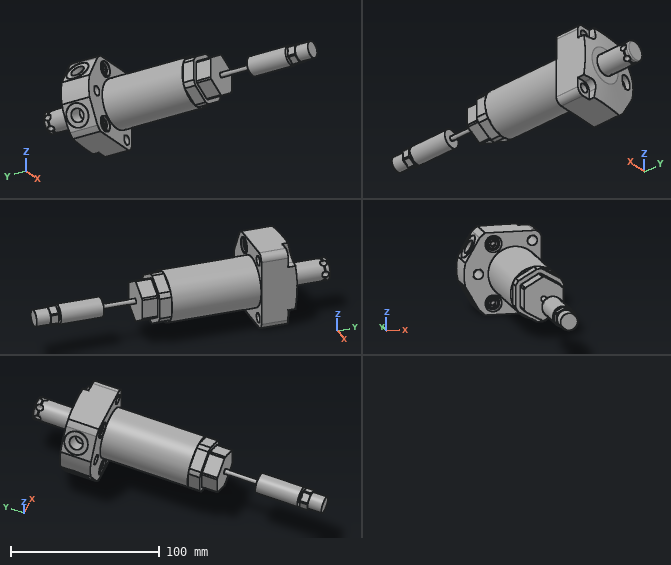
import cadquery as cq
import math


FLANGE_RADIUS = 35.0
FLANGE_RIGHT = 18.92
FLANGE_HALF_HEIGHT = 28.5
CORNER_RADIUS = 5.0
PORT_FLAT_DISTANCE = 33.6
PORT_ANGLES = (150, 210)

FLANGE_RIM_STATION = 22.4
FLANGE_TOP_STATION = 26.9
FLANGE_TOP_RADIUS = 13.5

PORT_STATION = 13.0
PORT_SPOTFACE_DIAMETER = 17.0
PORT_SPOTFACE_DEPTH = 0.3
PORT_DIAMETER = 9.6
PORT_DEPTH = 12.5

BOLT_CIRCLE_RADIUS = 25.0
CORNER_BOLT_ANGLE = 60
BOLT_ANGLES = (CORNER_BOLT_ANGLE, 180, -CORNER_BOLT_ANGLE)
BOLT_DIAMETER = 6.8
SPOTFACE_STATION = 19.2
SPOTFACE_DIAMETER = 10.6

SCREW_X = -14.5
SCREW_Z = 20.5
RIM_SECTION_RADIUS = 0.6
SCREW_BORE_DIAMETER = 9.0
BORE_DEPTH = 1.5
SCREW_HEAD_DIAMETER = 7.6
SCREW_HEAD_HEIGHT = 1.0
SCREW_HEAD_CHAMFER = 0.6
SOCKET_WIDTH = 3.6
SOCKET_DEPTH = 2.5

STEM_RADIUS = 7.95
STEM_END = 54.0
STEM_TIP_ROUND = 1.0
STEM_DIMPLE_DIAMETER = 5.0
STEM_DIMPLE_DEPTH = STEM_DIMPLE_DIAMETER / 2
STEM_DIMPLE_COUNT = 6
STEM_DIMPLE_STATION = STEM_END - 3.8
STEM_GROOVE_WIDTH = 0.6
STEM_GROOVE_DEPTH = 0.3

BARREL_RADIUS = 18.15
BARREL_END = -64.0
LARGE_NUT_WIDTH = 33.5
LARGE_NUT_RADIUS = 18.3
LARGE_NUT_END = -72.6
SMALL_NUT_WIDTH = 27.0
SMALL_NUT_RADIUS = 15.2
SMALL_NUT_END = -83.9
ROD_RADIUS = 1.8
ROD_END = -109.0
SLEEVE_RADIUS = 7.2
SLEEVE_END = -139.9
NECK_RADIUS = 4.2
NECK_END = -141.4
PLUG_NUT_WIDTH = 13.0
PLUG_NUT_RADIUS = 7.25
PLUG_NUT_END = -147.0
PLUG_RADIUS = 6.0
PLUG_END = -157.09


def cylinder(radius, start, end, x=0, z=0):
    """Cylinder parallel to Y between two stations."""
    axis = cq.Vector(0, math.copysign(1, end - start), 0)
    return cq.Workplane(cq.Solid.makeCylinder(radius, abs(end - start), cq.Vector(x, start, z), axis))


def hexagon(width, start, end, x=0, z=0):
    """Hexagonal prism parallel to Y, with two of its flats facing -X and +X."""
    plane = cq.Plane(origin=(x, start, z), xDir=(1, 0, 0), normal=(0, math.copysign(1, end - start), 0))
    return cq.Workplane(plane).polygon(6, width, circumscribed=True).extrude(abs(end - start))


def nut(width, corner_radius, start, end):
    """Hexagon with its corners turned down to a radius."""
    return hexagon(width, start, end).intersect(cylinder(corner_radius, start, end))


def radial_cylinder(diameter, depth, angle, outer_distance, station):
    """Cylinder cutting inward toward the Y axis, at an angle measured from +X toward +Z."""
    outward = cq.Vector(math.cos(math.radians(angle)), 0, math.sin(math.radians(angle)))
    start = outward * outer_distance + cq.Vector(0, station, 0)
    return cq.Workplane(cq.Solid.makeCylinder(diameter / 2, depth, start, outward * -1))


def flange_body():
    """Domed disc trimmed to a straight top, bottom and right side."""
    disc = (
        cq.Workplane("XY")
        .polyline([
            (0, 0),
            (FLANGE_RADIUS, 0),
            (FLANGE_RADIUS, FLANGE_RIM_STATION),
            (FLANGE_TOP_RADIUS, FLANGE_TOP_STATION),
            (0, FLANGE_TOP_STATION),
        ])
        .close()
        .revolve(360, (0, 0), (0, 1))
    )
    trim = (
        cq.Workplane("XY")
        .box(
            FLANGE_RADIUS + FLANGE_RIGHT,
            FLANGE_TOP_STATION,
            2 * FLANGE_HALF_HEIGHT,
            centered=(False, False, True),
        )
        .translate((-FLANGE_RADIUS, 0, 0))
        .edges("|Y and >X")
        .fillet(CORNER_RADIUS)
    )
    return disc.intersect(trim)


def cut_ports(body):
    """Flats on the rim, each with a shallow spotface and a blind port aimed at the axis."""
    flat_depth = FLANGE_RADIUS - PORT_FLAT_DISTANCE
    for angle in PORT_ANGLES:
        flat = (
            cq.Workplane("XY")
            .box(flat_depth, FLANGE_TOP_STATION, FLANGE_RADIUS, centered=(False, False, True))
            .translate((PORT_FLAT_DISTANCE, 0, 0))
            .rotate((0, 0, 0), (0, 1, 0), -angle)
        )
        spotface = radial_cylinder(
            PORT_SPOTFACE_DIAMETER, PORT_SPOTFACE_DEPTH, angle, PORT_FLAT_DISTANCE, PORT_STATION
        )
        port = radial_cylinder(PORT_DIAMETER, PORT_DEPTH, angle, PORT_FLAT_DISTANCE, PORT_STATION)
        body = body.cut(flat).cut(spotface).cut(port)
    return body


def cut_mounting_holes(body):
    """Three through holes on a bolt circle, spotfaced from the rear."""
    for angle in BOLT_ANGLES:
        x = BOLT_CIRCLE_RADIUS * math.cos(math.radians(angle))
        z = BOLT_CIRCLE_RADIUS * math.sin(math.radians(angle))
        body = body.cut(cylinder(BOLT_DIAMETER / 2, 0, FLANGE_TOP_STATION, x, z))
        body = body.cut(cylinder(SPOTFACE_DIAMETER / 2, SPOTFACE_STATION, FLANGE_TOP_STATION, x, z))
    return body


def cut_corner_notches(body):
    """Open the two corner spotfaces out to the right side and to the top or bottom."""
    hole_x = BOLT_CIRCLE_RADIUS * math.cos(math.radians(CORNER_BOLT_ANGLE))
    hole_z = BOLT_CIRCLE_RADIUS * math.sin(math.radians(CORNER_BOLT_ANGLE))
    left = hole_x - SPOTFACE_DIAMETER / 2
    inner = hole_z - SPOTFACE_DIAMETER / 2
    for side in (1, -1):
        outline = [
            (left, side * hole_z),
            (left, side * FLANGE_HALF_HEIGHT),
            (FLANGE_RIGHT, side * FLANGE_HALF_HEIGHT),
            (FLANGE_RIGHT, side * inner),
            (hole_x, side * inner),
            (hole_x, side * hole_z),
        ]
        notch = (
            cq.Workplane("XZ", origin=(0, FLANGE_TOP_STATION, 0))
            .polyline(outline)
            .close()
            .extrude(FLANGE_TOP_STATION - SPOTFACE_STATION)
        )
        body = body.cut(notch)
    return body


def add_screw(body, z):
    """Socket screw in a bore, ringed by a half-round rim on the front face."""
    head_top = BORE_DEPTH - SCREW_HEAD_HEIGHT
    rim = cq.Workplane(
        cq.Solid.makeTorus(
            SCREW_BORE_DIAMETER / 2 + RIM_SECTION_RADIUS,
            RIM_SECTION_RADIUS,
            cq.Vector(SCREW_X, 0, z),
            cq.Vector(0, 1, 0),
        )
    )
    head = (
        cylinder(SCREW_HEAD_DIAMETER / 2, BORE_DEPTH, head_top, SCREW_X, z)
        .faces("<Y")
        .chamfer(SCREW_HEAD_CHAMFER)
    )
    return (
        body.union(rim)
        .cut(cylinder(SCREW_BORE_DIAMETER / 2, 0, BORE_DEPTH, SCREW_X, z))
        .union(head)
        .cut(hexagon(SOCKET_WIDTH, head_top, head_top + SOCKET_DEPTH, SCREW_X, z))
    )


def rear_stem():
    """Stem with a rounded tip and a ring of conical dimples along a narrow groove."""
    stem = cylinder(STEM_RADIUS, FLANGE_TOP_STATION, STEM_END).faces(">Y").edges().fillet(STEM_TIP_ROUND)
    groove_start = STEM_DIMPLE_STATION - STEM_GROOVE_WIDTH / 2
    groove_end = STEM_DIMPLE_STATION + STEM_GROOVE_WIDTH / 2
    groove = cylinder(STEM_RADIUS, groove_start, groove_end).cut(
        cylinder(STEM_RADIUS - STEM_GROOVE_DEPTH, groove_start, groove_end)
    )
    stem = stem.cut(groove)
    for index in range(STEM_DIMPLE_COUNT):
        angle = index * 360 / STEM_DIMPLE_COUNT
        dimple = cq.Workplane(
            cq.Solid.makeCone(
                STEM_DIMPLE_DIAMETER / 2,
                0,
                STEM_DIMPLE_DEPTH,
                cq.Vector(STEM_RADIUS, STEM_DIMPLE_STATION, 0),
                cq.Vector(-1, 0, 0),
            )
        )
        stem = stem.cut(dimple.rotate((0, 0, 0), (0, 1, 0), -angle))
    return stem


def front_train():
    """Barrel, two nuts, rod and the plug assembly, stacked forward of the flange."""
    pieces = [
        nut(LARGE_NUT_WIDTH, LARGE_NUT_RADIUS, BARREL_END, LARGE_NUT_END),
        nut(SMALL_NUT_WIDTH, SMALL_NUT_RADIUS, LARGE_NUT_END, SMALL_NUT_END),
        cylinder(ROD_RADIUS, SMALL_NUT_END, ROD_END),
        cylinder(SLEEVE_RADIUS, ROD_END, SLEEVE_END),
        cylinder(NECK_RADIUS, SLEEVE_END, NECK_END),
        nut(PLUG_NUT_WIDTH, PLUG_NUT_RADIUS, NECK_END, PLUG_NUT_END),
        cylinder(PLUG_RADIUS, PLUG_NUT_END, PLUG_END),
    ]
    train = cylinder(BARREL_RADIUS, 0, BARREL_END)
    for piece in pieces:
        train = train.union(piece)
    return train


flange = cut_corner_notches(cut_mounting_holes(cut_ports(flange_body())))
for screw_z in (SCREW_Z, -SCREW_Z):
    flange = add_screw(flange, screw_z)

result = flange.union(rear_stem()).union(front_train())